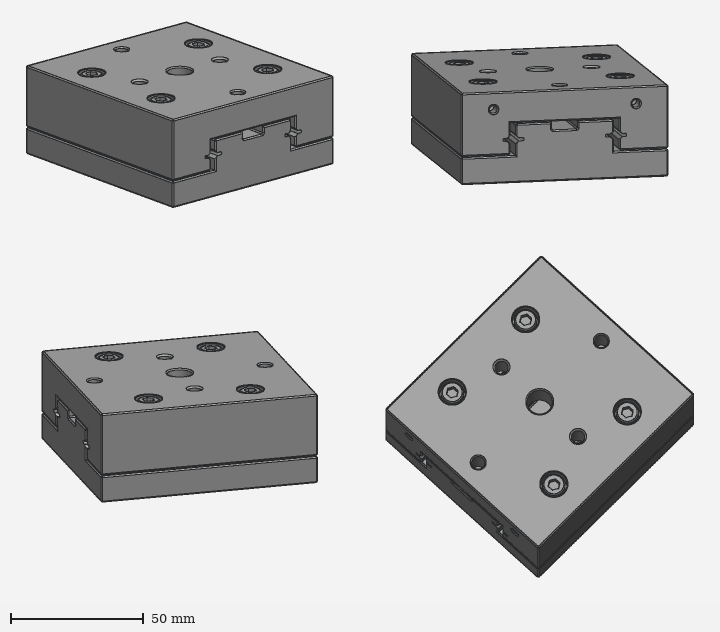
import cadquery as cq
import math

length = 85.0
width = 80.0
height = 35.0
edge_chamfer = 0.53

step_height = 10.4
rail_height = 22.5
rail_half_width = 18.95
running_gap = 0.4
channel_half_width = 21.0

raceway_height = 16.6
vee_half_height = 1.8
slot_height = 1.2
carriage_slot_depth = 2.9
rail_slot_depth = 3.2

groove_width = 10.0
groove_depth = 3.0
groove_corner = 0.5

screw_x = 20.0
screw_y = 26.5
counterbore_diameter = 10.0
counterbore_chamfer = 0.3
counterbore_depth = 5.4
head_diameter = 8.5
head_height = 5.0
head_chamfer = 0.5
socket_width = 4.0
socket_depth = 2.5

center_hole_diameter = 9.5
small_hole_diameter = 5.0
small_hole_y = 20.0
small_hole_x = 33.5
hole_chamfer = 0.5
wide_chamfer = 0.7

end_hole_diameter = 3.0
end_hole_y = 27.5
end_hole_height = 28.4
end_hole_depth = 6.0
drill_tip_angle = 118.0

carriage_bottom = step_height + running_gap
channel_top = rail_height + running_gap
roof_thickness = height - channel_top
hex_corner_ratio = 2 / 3 ** 0.5


def bar(bar_width, bottom, top):
    """Full-length rectangular bar, centred on Y."""
    start = cq.Workplane("XY", origin=(0, 0, bottom))
    return start.box(length, bar_width, top - bottom, (True, True, False))


def raceway_cutter(side, wall, slot_depth, into):
    """Vee with a relief slot, cut from a wall on one side (+1 / -1) of the rail.

    `into` is +1 where the groove runs away from the centre and -1 where it runs towards it.
    """
    half_slot = slot_height / 2
    vee_depth = vee_half_height - half_slot
    mouth_y = side * wall
    root_y = side * (wall + into * vee_depth)
    arc_y = side * (wall + into * (slot_depth - half_slot))
    end_y = side * (wall + into * slot_depth)
    profile = (
        cq.Workplane("YZ", origin=(-length / 2, 0, raceway_height))
        .moveTo(mouth_y, vee_half_height)
        .lineTo(root_y, half_slot)
        .lineTo(arc_y, half_slot)
        .threePointArc((end_y, 0), (arc_y, -half_slot))
        .lineTo(root_y, -half_slot)
        .lineTo(mouth_y, -vee_half_height)
        .close()
    )
    return profile.extrude(length)


def top_hole(x, y, diameter, depth, chamfer=hole_chamfer):
    """Vertical hole from the top face, with a chamfered mouth."""
    mouth_radius = diameter / 2 + chamfer
    hole = cq.Workplane("XY", origin=(x, y, height)).circle(diameter / 2).extrude(-depth)
    mouth = cq.Workplane("XY", origin=(x, y, height)).circle(mouth_radius).extrude(-chamfer, taper=45)
    return hole.union(mouth)


def end_hole(y):
    """Blind drilled hole in the -X face, with a chamfered mouth and a conical tip."""
    radius = end_hole_diameter / 2
    tip_length = radius / math.tan(math.radians(drill_tip_angle / 2))
    half_section = (
        cq.Workplane("XY", origin=(-length / 2, y, end_hole_height))
        .moveTo(0, 0)
        .lineTo(0, radius + hole_chamfer)
        .lineTo(hole_chamfer, radius)
        .lineTo(end_hole_depth, radius)
        .lineTo(end_hole_depth + tip_length, 0)
        .close()
    )
    return half_section.revolve(360, (0, 0, 0), (1, 0, 0))


def screw_head(x, y):
    """Socket head that stands on the floor of its counterbore."""
    head = (
        cq.Workplane("XY", origin=(x, y, height - counterbore_depth))
        .circle(head_diameter / 2)
        .extrude(head_height)
        .faces(">Z")
        .chamfer(head_chamfer)
    )
    return (
        head.faces(">Z")
        .workplane(origin=(x, y, 0))
        .transformed(rotate=(0, 0, 90))
        .polygon(6, socket_width * hex_corner_ratio)
        .cutBlind(-socket_depth)
    )


def build_base():
    flange = bar(width, 0, step_height).edges().chamfer(edge_chamfer)
    rail = bar(2 * rail_half_width, step_height - edge_chamfer, rail_height)
    groove = bar(groove_width, rail_height - groove_depth, rail_height)
    rail = rail.cut(groove.edges("|X and <Z").chamfer(groove_corner))
    rail = rail.faces("<Y or >Y").edges(">Z").chamfer(edge_chamfer)
    rail = rail.faces("<X or >X").edges("not <Z").chamfer(edge_chamfer)
    base = flange.union(rail)
    for side in (-1, 1):
        base = base.cut(raceway_cutter(side, rail_half_width, rail_slot_depth, -1))
    return base


def build_carriage():
    channel = bar(2 * channel_half_width, carriage_bottom, channel_top)
    carriage = bar(width, carriage_bottom, height).cut(channel)
    end_edges = carriage.faces("<X or >X").edges()
    long_edges = carriage.faces("<Z or >Z").edges("|X")
    carriage = end_edges.add(long_edges).chamfer(edge_chamfer)
    for side in (-1, 1):
        carriage = carriage.cut(raceway_cutter(side, channel_half_width, carriage_slot_depth, 1))

    carriage = carriage.cut(top_hole(0, 0, center_hole_diameter, roof_thickness))
    for side in (-1, 1):
        carriage = carriage.cut(
            top_hole(0, side * small_hole_y, small_hole_diameter, roof_thickness, wide_chamfer)
        )
        carriage = carriage.cut(top_hole(side * small_hole_x, 0, small_hole_diameter, roof_thickness))
        for y_side in (-1, 1):
            x = side * screw_x
            y = y_side * screw_y
            counterbore = top_hole(x, y, counterbore_diameter, counterbore_depth, counterbore_chamfer)
            carriage = carriage.cut(counterbore).union(screw_head(x, y))
        carriage = carriage.cut(end_hole(side * end_hole_y))
    return carriage


base = build_base()
carriage = build_carriage()
result = cq.Compound.makeCompound([base.solids().val(), carriage.solids().val()])